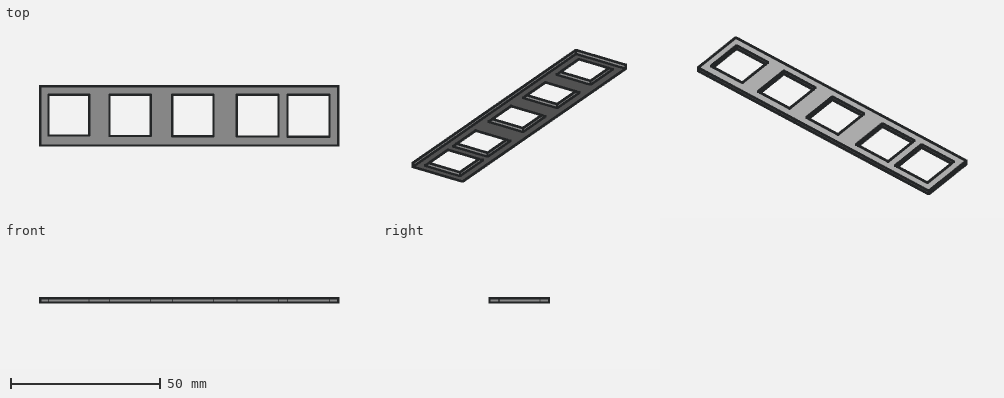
import cadquery as cq

plate_length = 100.0
plate_width = 20.0
plate_thickness = 1.5

window_far_margin = 3.0
window_sizes = [13.6, 13.7, 13.8, 13.9, 14.0]
window_left_offsets = [2.8, 23.3, 44.3, 66.0, 83.0]


def make_window(left_offset, size):
    """Square cutter through the plate, placed by its -X edge and far edge."""
    left = left_offset - plate_length / 2
    near = plate_width / 2 - window_far_margin - size
    return cq.Workplane("XY").box(size, size, plate_thickness, centered=False).translate((left, near, 0))


result = cq.Workplane("XY").box(plate_length, plate_width, plate_thickness, centered=(True, True, False))
for left_offset, size in zip(window_left_offsets, window_sizes):
    result = result.cut(make_window(left_offset, size))